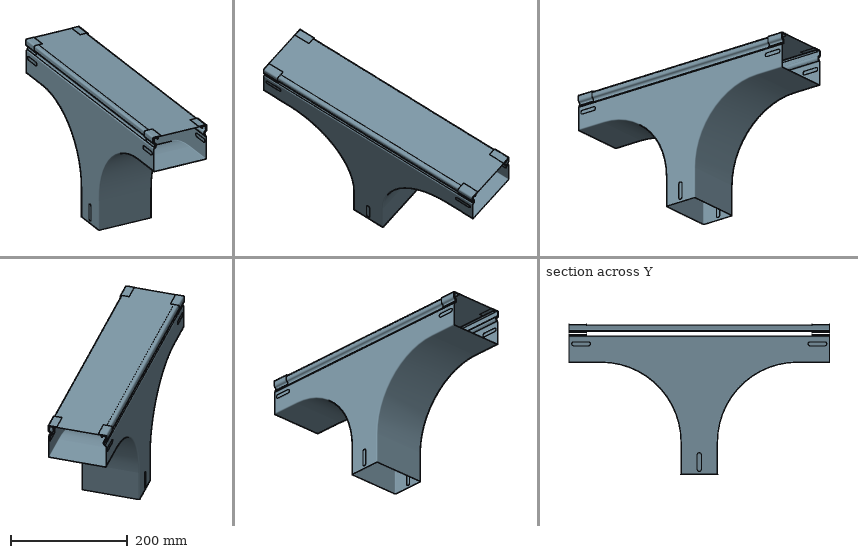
import cadquery as cq
import math

overall_width = 106.4
overall_height = 257.19
tee_sheet = 1.0
cover_sheet = 0.8
clip_sheet = 0.7

tee_length = 446.6
tee_width = 103.8
tee_top = overall_height - cover_sheet - clip_sheet
floor_z = 191.2
leg_width = 63.6
throat_radius = 136.0
throat_bend = 2.2
lip_corner = 2.4
lip_nose = 1.7
lip_edge_y = 42.2
lip_roll = 210.0
lip_tail = 2.4

groove_z = 240.75
groove_depth = 4.0
groove_half_height = 6.75
groove_radius = 5.0

slot_length = 32.0
slot_width = 7.0
slot_inset = 21.0
end_slot_z = 223.4
slot_depth = tee_sheet / 2

cover_length = 446.6
clip_length = 30.0
clip_inset = 0.4
clip_corner = 2.8
clip_edge_y = 37.0

half_width = tee_width / 2

lip_y = half_width - cover_sheet
clip_side_gap = overall_width / 2 - half_width - clip_sheet
groove_floor_y = lip_y - groove_depth
groove_centre_y = groove_floor_y + groove_radius

upper_angle = 2 * math.atan((lip_y - groove_floor_y) / groove_half_height)
lower_angle = 2 * math.atan((half_width - groove_floor_y) / groove_half_height)


def on_groove(offset, angle):
    """Point in the groove on the surface lying `offset` outside the tee's outer face."""
    radius = groove_radius - offset
    return (groove_centre_y - radius * math.cos(angle), groove_z + radius * math.sin(angle))


def on_shoulder(offset, flat_y, joint_angle, angle, side):
    """Point on the shoulder that rounds into the flat at `flat_y`.

    The shoulder lies above the groove for side 1 and below it for side -1.
    """
    tee_radius = groove_half_height / math.sin(joint_angle) - groove_radius
    radius = tee_radius + offset
    y = flat_y - tee_radius + radius * math.cos(angle)
    return (y, groove_z + side * (groove_half_height - radius * math.sin(angle)))


def on_upper_shoulder(offset, angle):
    return on_shoulder(offset, lip_y, upper_angle, angle, 1)


def on_lower_shoulder(offset, angle):
    return on_shoulder(offset, half_width, lower_angle, angle, -1)


def groove_up(path, offset):
    """Continue from the groove's lower joint to the flat above its upper shoulder."""
    path = path.threePointArc(on_groove(offset, 0), on_groove(offset, upper_angle))
    return path.threePointArc(on_upper_shoulder(offset, upper_angle / 2), on_upper_shoulder(offset, 0))


def groove_down(path, offset, end_angle):
    """Continue from the flat above the groove to `end_angle` below the groove's middle."""
    path = path.lineTo(*on_upper_shoulder(offset, 0))
    path = path.threePointArc(on_upper_shoulder(offset, upper_angle / 2), on_groove(offset, upper_angle))
    return path.threePointArc(on_groove(offset, 0), on_groove(offset, -end_angle))


def corner_arc(path, y, z, radius, start, end):
    """Continue along an arc about (y, z) between two angles in degrees."""
    points = []
    for angle in ((start + end) / 2, end):
        turn = math.radians(angle)
        points.append((y + radius * math.cos(turn), z + radius * math.sin(turn)))
    return path.threePointArc(*points)


def centred_profile(length):
    return cq.Workplane("YZ").workplane(offset=-length / 2)


def both_sides(half):
    return half.union(half.mirror("XZ"))



def channel_block(inset):
    """Solid T below the groove, drawn in by `inset`, with its two throat edges rounded."""
    x_end = tee_length / 2
    leg = leg_width / 2 - inset
    radius = throat_radius + inset
    floor = floor_z + inset
    mid = radius * (1 - math.sqrt(0.5))
    arc_z = floor - radius
    top = groove_z - groove_half_height
    block = (
        cq.Workplane("XZ")
        .moveTo(-x_end, top)
        .lineTo(-x_end, floor)
        .lineTo(-leg - radius, floor)
        .threePointArc((-leg - mid, floor - mid), (-leg, arc_z))
        .lineTo(-leg, 0)
        .lineTo(leg, 0)
        .lineTo(leg, arc_z)
        .threePointArc((leg + mid, floor - mid), (leg + radius, floor))
        .lineTo(x_end, floor)
        .lineTo(x_end, top)
        .close()
        .extrude(half_width - inset, both=True)
    )
    throat_edges = []
    for edge in block.faces("<Y or >Y").edges().vals():
        centre = edge.Center()
        on_open_end = abs(centre.x) > x_end - tee_sheet or centre.z < tee_sheet
        if centre.z < floor + tee_sheet and not on_open_end:
            throat_edges.append(edge)
    return block.newObject(throat_edges).fillet(throat_bend - inset)


def tee_walls():
    return channel_block(0).cut(channel_block(tee_sheet))


def tee_lip():
    """One wall's groove and the lip above it, bent inward under the cover with a rolled edge."""
    inner = -tee_sheet
    corner_y = lip_y - lip_corner
    corner_z = tee_top - lip_corner
    nose_y = lip_edge_y + lip_nose
    nose_z = tee_top - lip_nose
    path = centred_profile(tee_length).moveTo(*on_lower_shoulder(0, 0))
    path = path.threePointArc(on_lower_shoulder(0, lower_angle / 2), on_groove(0, -lower_angle))
    path = groove_up(path, 0).lineTo(lip_y, corner_z)
    path = corner_arc(path, corner_y, corner_z, lip_corner, 0, 90).lineTo(nose_y, tee_top)
    path = corner_arc(path, nose_y, nose_z, lip_nose, 90, lip_roll)
    turn = math.radians(lip_roll)
    path = path.line(-lip_tail * math.sin(turn), lip_tail * math.cos(turn))
    path = path.line(-tee_sheet * math.cos(turn), -tee_sheet * math.sin(turn))
    inner_nose = lip_nose - tee_sheet
    path = path.lineTo(nose_y + inner_nose * math.cos(turn), nose_z + inner_nose * math.sin(turn))
    path = corner_arc(path, nose_y, nose_z, inner_nose, lip_roll, 90).lineTo(corner_y, tee_top - tee_sheet)
    path = corner_arc(path, corner_y, corner_z, lip_corner - tee_sheet, 90, 0)
    path = groove_down(path, inner, lower_angle)
    path = path.threePointArc(on_lower_shoulder(inner, lower_angle / 2), on_lower_shoulder(inner, 0))
    return path.close().extrude(tee_length)


def slot_cutters():
    end_x = tee_length / 2 - slot_inset
    outline = cq.Workplane("XZ", origin=(0, slot_depth - half_width, 0))
    ends = (
        outline
        .pushPoints([(-end_x, end_slot_z), (end_x, end_slot_z)])
        .slot2D(slot_length, slot_width)
        .extrude(slot_depth)
    )
    leg = (
        outline.center(0, slot_inset)
        .slot2D(slot_length, slot_width, 90)
        .extrude(slot_depth)
    )
    return both_sides(ends.union(leg))


def make_tee():
    return tee_walls().union(both_sides(tee_lip())).cut(slot_cutters())



def make_cover():
    """Flat lid over the lips, gripping both grooves."""
    outer = cover_sheet
    radius = lip_corner + cover_sheet
    corner_y = lip_y - lip_corner
    corner_z = tee_top - lip_corner
    path = centred_profile(cover_length).moveTo(0, tee_top).lineTo(corner_y, tee_top)
    path = corner_arc(path, corner_y, corner_z, lip_corner, 90, 0)
    path = groove_down(path, 0, upper_angle).lineTo(*on_groove(outer, -upper_angle))
    path = groove_up(path, outer).lineTo(lip_y + outer, corner_z)
    path = corner_arc(path, corner_y, corner_z, radius, 0, 90).lineTo(0, tee_top + outer)
    return both_sides(path.close().extrude(cover_length))



def make_clip(x_start, side):
    """Clip over one cover edge, from `x_start` along +X, on the wall towards `side` of Y."""
    inner = cover_sheet + clip_side_gap
    outer = inner + clip_sheet
    bottom = tee_top + cover_sheet
    top = bottom + clip_sheet
    corner_y = lip_y + outer - clip_corner
    corner_z = top - clip_corner
    path = cq.Workplane("YZ").workplane(offset=x_start).moveTo(clip_edge_y, bottom).lineTo(corner_y, bottom)
    path = corner_arc(path, corner_y, corner_z, clip_corner - clip_sheet, 90, 0)
    path = groove_down(path, inner, upper_angle).lineTo(*on_groove(outer, -upper_angle))
    path = groove_up(path, outer).lineTo(lip_y + outer, corner_z)
    path = corner_arc(path, corner_y, corner_z, clip_corner, 0, 90)
    clip = path.lineTo(clip_edge_y, top).close().extrude(clip_length)
    return clip if side > 0 else clip.mirror("XZ")


tee = make_tee()
cover = make_cover()
clip_end = cover_length / 2 - clip_inset
clips = []
for x_start in (-clip_end, clip_end - clip_length):
    for side in (-1, 1):
        clips.append(make_clip(x_start, side).val())

result = cq.Compound.makeCompound([tee.val(), cover.val(), *clips])